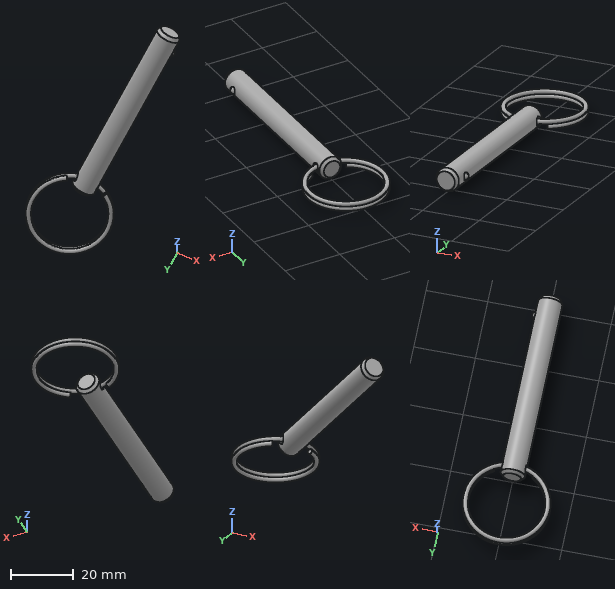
import cadquery as cq

overall_length = 86.0
pin_diameter = 8.0
pin_radius = pin_diameter / 2
pin_length = 63.0
tip_chamfer_length = 1.4
tip_chamfer_depth = 0.8
head_chamfer = 1.0

hole_diameter = 3.0
hole_from_head = 3.4

ball_diameter = 2.7
ball_protrusion = 0.9
ball_from_tip = 6.45

ring_outer_diameter = 28.0
wire_diameter = 1.7
coil_pitch = 1.6
coil_gap_angle = 60.0
coil_radius = (ring_outer_diameter - wire_diameter) / 2
ring_center_y = overall_length - ring_outer_diameter / 2


def make_pin():
    """Chamfered cylinder with a cross hole through X."""
    profile = [
        (0, 0),
        (pin_radius - tip_chamfer_depth, 0),
        (pin_radius, tip_chamfer_length),
        (pin_radius, pin_length - head_chamfer),
        (pin_radius - head_chamfer, pin_length),
        (0, pin_length),
    ]
    pin = cq.Workplane("XY").polyline(profile).close().revolve(360, (0, 0), (0, 1))
    hole = (
        cq.Workplane("YZ")
        .center(pin_length - hole_from_head, 0)
        .circle(hole_diameter / 2)
        .extrude(pin_radius, both=True)
    )
    return pin.cut(hole)


def make_ball():
    ball_x = pin_radius + ball_protrusion - ball_diameter / 2
    return cq.Workplane("XY").sphere(ball_diameter / 2).translate((ball_x, ball_from_tip, 0))


def make_coil(height, gap_angle):
    """One turn of round wire, with any gap centred on the -Y side."""
    start_angle = gap_angle / 2 - 90
    return (
        cq.Workplane("XZ")
        .center(coil_radius, 0)
        .circle(wire_diameter / 2)
        .revolve(360 - gap_angle, (-coil_radius, 0), (-coil_radius, 1))
        .rotate((0, 0, 0), (0, 0, 1), start_angle)
        .translate((0, ring_center_y, height))
    )


upper_coil = make_coil(0, 0)
lower_coil = make_coil(-coil_pitch, coil_gap_angle)

result = make_pin().union(make_ball()).union(upper_coil).union(lower_coil)